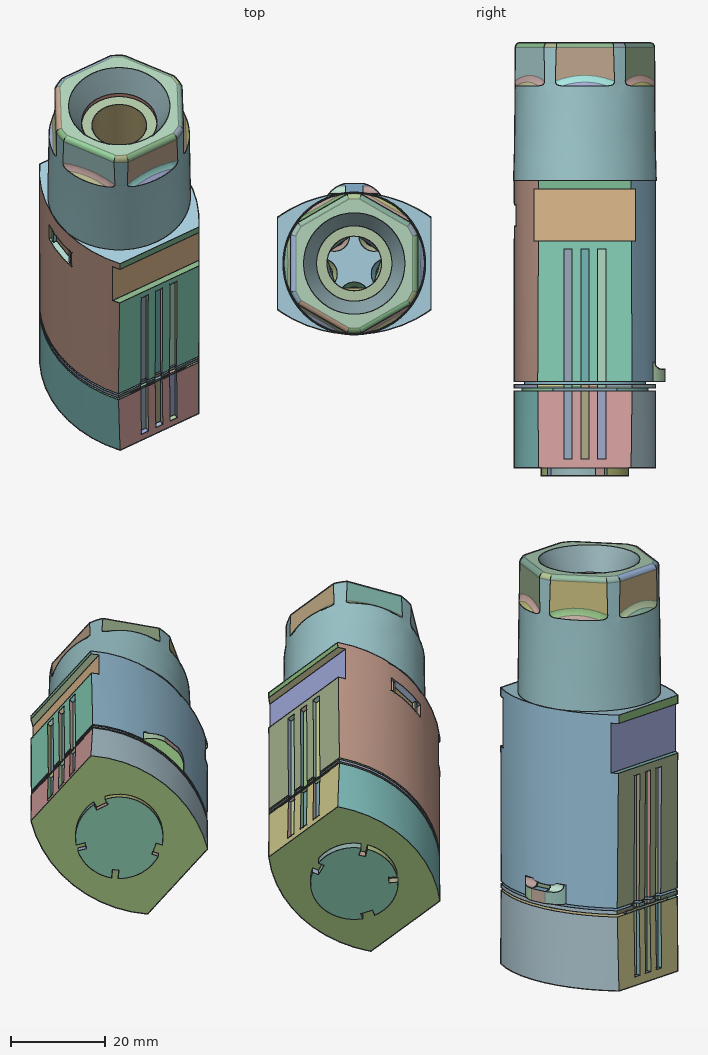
import cadquery as cq
import math


total_height = 91.65
nut_seat_z = 62.5
sleeve_bottom_z = 1.65
lower_groove_z = (18.0, 18.5)
upper_groove_z = (19.3, 19.9)
waist_z = 18.9

housing_width = 32.5
waist_width = 31.9
housing_depth = 30.0
side_radius = 27.95
trim_margin = 0.9

upper_neck_radius = 12.8
lower_neck_radius = 13.4
ear_width = 13.6
ear_inset = 0.1
side_recess_z = (49.7, 60.7)
side_recess_width = 29.7
slot_width = 1.7
slot_depth = 0.7
slot_pitch = 3.6
slot_count = 3
slot_z = (3.6, 47.9)

window_z = (52.8, 57.3)
window_half_width = 4.6
lip_outer_x = 3.8
lip_inner_x = 3.2
lip_y = -14.4
window_floor_y = -13.6
clip_groove_y = -13.1

latch_y = 17.0
latch_tip_width = 3.7
latch_foot_width = 11.2
latch_root_y = 13.75
latch_flank_mid = (3.85, 16.1)
latch_top_z = 22.55
latch_blend_radius = 1.6
latch_blend_inset = 0.2

plug_radius = 9.3
wide_key_angle = 158.0
wide_key_width = 2.7
wide_key_depth = 1.5
narrow_key_angle = 235.0
narrow_key_width = 1.4
narrow_key_depth = 1.9

nut_base_radius = 15.1
nut_top_radius = 14.8
across_flats = 26.9
hexagon_turn = 30.0
shoulder_z = 82.5
shoulder_blend_radius = 2.0
nut_edge_radius = 1.1
mouth_radius = 10.7
mouth_floor_radius = 8.0
mouth_cone_z = 86.4
mouth_floor_z = 85.4
bore_radius = 5.8

petal_count = 5
petal_centre_radius = 7.15
petal_radius = 3.2
petal_foot_radius = 2.2
petal_bore_foot_radius = 5.2
petal_depth = 1.8


def box_between(x_range, y_range, z_range):
    """Box that fills the given (low, high) ranges."""
    sizes = [high - low for low, high in (x_range, y_range, z_range)]
    return cq.Workplane("XY").box(*sizes, centered=False).translate((x_range[0], y_range[0], z_range[0]))


def cylinder_between(radius, z_range):
    """Cylinder on the connector axis between two heights."""
    return cq.Workplane("XY").workplane(offset=z_range[0]).circle(radius).extrude(z_range[1] - z_range[0])


def make_oval_body():
    """Oval prism: two crowned sides, and two flat sides drafted in to a narrow waist."""
    half_depth = housing_depth / 2
    blank_half = housing_width / 2 + trim_margin
    drop = side_radius - math.sqrt(side_radius ** 2 - blank_half ** 2)
    corner_y = half_depth - drop
    oval = (
        cq.Workplane("XY").workplane(offset=sleeve_bottom_z)
        .moveTo(-blank_half, -corner_y)
        .threePointArc((0, -half_depth), (blank_half, -corner_y))
        .lineTo(blank_half, corner_y)
        .threePointArc((0, half_depth), (-blank_half, corner_y))
        .close()
        .extrude(nut_seat_z - sleeve_bottom_z)
    )
    half_width = housing_width / 2
    half_waist = waist_width / 2
    flat_sides = (
        cq.Workplane("XZ")
        .polyline([
            (-half_width, sleeve_bottom_z), (half_width, sleeve_bottom_z), (half_waist, waist_z),
            (half_width, nut_seat_z), (-half_width, nut_seat_z), (-half_waist, waist_z),
        ])
        .close()
        .extrude(housing_depth, both=True)
    )
    return oval.intersect(flat_sides)


def make_groove_cutters():
    """Two grooves round the housing."""
    outer = (-housing_width, housing_width)
    return [
        box_between(outer, outer, z_range).cut(cylinder_between(neck_radius, z_range))
        for neck_radius, z_range in ((upper_neck_radius, upper_groove_z), (lower_neck_radius, lower_groove_z))
    ]


def make_ears():
    """Web that fills the lower groove, and the grip slots there, at both flat sides."""
    ear_x = waist_width / 2 - ear_inset
    return box_between((-ear_x, ear_x), (-ear_width / 2, ear_width / 2), lower_groove_z)


def make_side_cutters():
    """Shallow recess and three grip slots for each flat side."""
    cutters = []
    half_waist = waist_width / 2
    for side in (-1, 1):
        recess_x = sorted((side * side_recess_width / 2, side * housing_width))
        cutters.append(box_between(recess_x, (-housing_depth, housing_depth), side_recess_z))
        slot_x = sorted((side * (half_waist - slot_depth), side * housing_width))
        for index in range(slot_count):
            slot_y = (index - (slot_count - 1) / 2) * slot_pitch
            slot_range = (slot_y - slot_width / 2, slot_y + slot_width / 2)
            cutters.append(box_between(slot_x, slot_range, slot_z))
    return cutters


def make_window_cutter():
    """Clip window: a pocket between two lips, with an undercut V groove at each end."""
    right_half = [
        (lip_inner_x, window_floor_y), (lip_inner_x, lip_y), (lip_outer_x, lip_y),
        (window_half_width, clip_groove_y), (window_half_width, -housing_depth),
    ]
    left_half = [(-x, y) for x, y in reversed(right_half)]
    return (
        cq.Workplane("XY").workplane(offset=window_z[0])
        .polyline(right_half + left_half).close()
        .extrude(window_z[1] - window_z[0])
    )


def make_latch():
    """Rounded latch with a flat middle; its flanks blend up into the back side in a concave curve."""
    bottom_z = upper_groove_z[1]
    blend_end_z = latch_top_z + latch_blend_radius
    tip = latch_tip_width / 2
    foot = latch_foot_width / 2
    mid_x, mid_y = latch_flank_mid
    foot_y = housing_depth / 2 - side_radius + math.sqrt(side_radius ** 2 - foot ** 2)
    outline = (
        cq.Workplane("XY").workplane(offset=bottom_z)
        .moveTo(-foot, latch_root_y)
        .lineTo(-foot, foot_y)
        .threePointArc((-mid_x, mid_y), (-tip, latch_y))
        .lineTo(tip, latch_y)
        .threePointArc((mid_x, mid_y), (foot, foot_y))
        .lineTo(foot, latch_root_y)
        .close()
        .extrude(blend_end_z - bottom_z)
    )
    blend_inner_y = housing_depth / 2 - latch_blend_inset
    blend_outer_y = blend_inner_y + latch_blend_radius
    diagonal = latch_blend_radius * math.sqrt(0.5)
    side_profile = (
        cq.Workplane("YZ")
        .moveTo(latch_root_y, bottom_z)
        .lineTo(latch_y, bottom_z)
        .lineTo(latch_y, latch_top_z)
        .lineTo(blend_outer_y, latch_top_z)
        .threePointArc((blend_outer_y - diagonal, blend_end_z - diagonal), (blend_inner_y, blend_end_z))
        .lineTo(latch_root_y, blend_end_z)
        .close()
        .extrude(latch_foot_width, both=True)
    )
    middle_flat = box_between((-tip, tip), (housing_depth / 2, latch_y), (latch_top_z, blend_end_z))
    return outline.intersect(side_profile).cut(middle_flat)


def make_plug():
    """Round plug with one wide and one narrow keyway on each side of the YZ plane."""
    plug = cylinder_between(plug_radius, (0, sleeve_bottom_z))
    keyways = [
        (wide_key_angle, wide_key_width, wide_key_depth),
        (narrow_key_angle, narrow_key_width, narrow_key_depth),
    ]
    for angle, width, depth in keyways:
        keyway = box_between(
            (plug_radius - depth, plug_radius + depth), (-width / 2, width / 2), (0, sleeve_bottom_z)
        )
        for turn in (angle, 180 - angle):
            plug = plug.cut(keyway.rotate((0, 0, 0), (0, 0, 1), turn))
    return plug


def make_petal_cutters():
    """Tapered recesses that leave a five-pointed star on the housing top inside the bore."""
    petals = []
    down = cq.Vector(0, 0, -1)
    bore_foot = cq.Vector(0, 0, nut_seat_z)
    bore_cone = cq.Workplane(
        cq.Solid.makeCone(bore_radius, petal_bore_foot_radius, petal_depth, pnt=bore_foot, dir=down)
    )
    for index in range(petal_count):
        angle = math.radians(-90 + index * 360 / petal_count)
        centre = cq.Vector(
            petal_centre_radius * math.cos(angle), petal_centre_radius * math.sin(angle), nut_seat_z
        )
        cone = cq.Solid.makeCone(petal_radius, petal_foot_radius, petal_depth, pnt=centre, dir=down)
        petals.append(bore_cone.intersect(cq.Workplane(cone)))
    return petals


def make_housing():
    housing = make_oval_body()
    cutters = [*make_groove_cutters(), *make_side_cutters(), make_window_cutter(), *make_petal_cutters()]
    for cutter in cutters:
        housing = housing.cut(cutter)
    return housing.union(make_ears()).union(make_latch()).union(make_plug())


def make_nut_blank():
    """Slightly tapered round nut, trimmed to a hexagonal head above a sloped shoulder."""
    nut_height = total_height - nut_seat_z
    tapered_body = cq.Workplane(
        cq.Solid.makeCone(nut_base_radius, nut_top_radius, nut_height, pnt=cq.Vector(0, 0, nut_seat_z))
    )
    taper = (nut_base_radius - nut_top_radius) / nut_height
    shoulder_radius = nut_base_radius - taper * (shoulder_z - nut_seat_z)
    shoulder_envelope = (
        cq.Workplane("XZ")
        .polyline([
            (0, nut_seat_z), (housing_width, nut_seat_z), (housing_width, shoulder_z),
            (shoulder_radius, shoulder_z), (0, shoulder_z + shoulder_radius),
        ])
        .close()
        .revolve(360, (0, 0), (0, 1))
    )
    hexagon = (
        cq.Workplane("XY").workplane(offset=nut_seat_z)
        .polygon(6, across_flats / math.cos(math.pi / 6))
        .extrude(nut_height)
        .rotate((0, 0, 0), (0, 0, 1), hexagon_turn)
    )
    return tapered_body.intersect(hexagon.union(shoulder_envelope))


def make_nut_bore():
    """Tapered cable mouth with a short straight step, then the through bore."""
    return (
        cq.Workplane("XZ")
        .polyline([
            (0, total_height), (mouth_radius, total_height), (mouth_floor_radius, mouth_cone_z),
            (mouth_floor_radius, mouth_floor_z), (bore_radius, mouth_floor_z), (bore_radius, nut_seat_z),
            (0, nut_seat_z),
        ])
        .close()
        .revolve(360, (0, 0), (0, 1))
    )


def make_gland_nut():
    nut = make_nut_blank()
    nut = nut.faces(">Z").edges().fillet(nut_edge_radius)
    nut = nut.edges("%HYPERBOLA").fillet(shoulder_blend_radius)
    return nut.cut(make_nut_bore())


housing = make_housing()
gland_nut = make_gland_nut()
result = cq.Compound.makeCompound([housing.solids().val(), gland_nut.solids().val()])